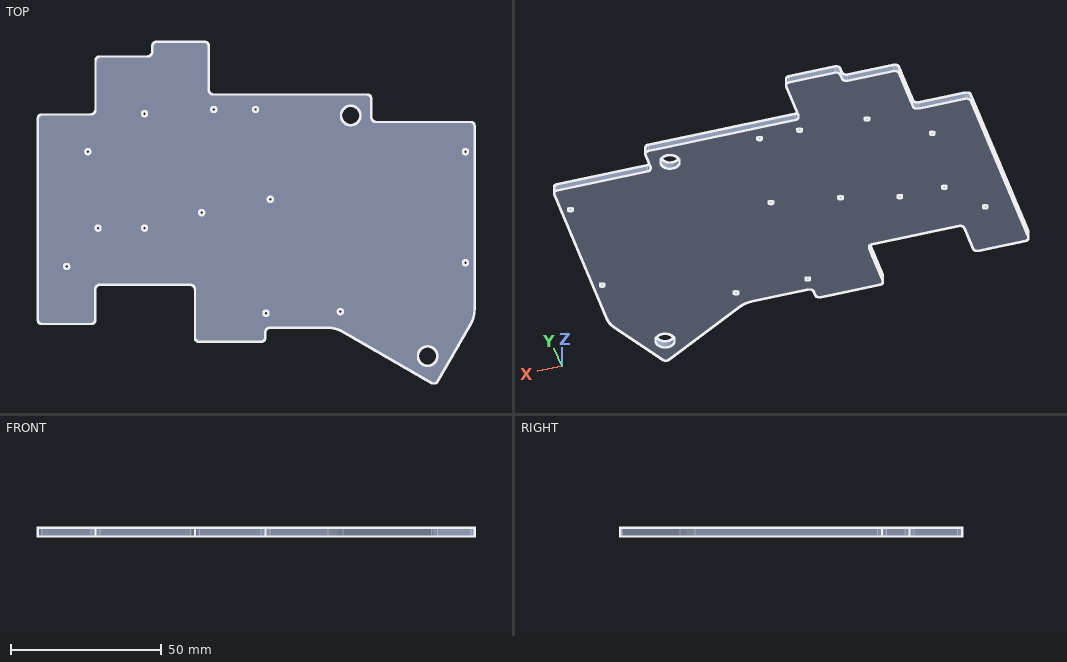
import cadquery as cq
import math

WIDTH = 145.5
DEPTH = 113.86
THICKNESS = 3.0

CORNER_RADIUS = 1.5
BEND_RADIUS = 10.0
SCREW_HOLE_DIAMETER = 1.6
MOUNT_HOLE_DIAMETER = 6.4

COLUMN_PITCH = 18.9
LEFT_COLUMN_RIGHT = 19.2
SECOND_COLUMN_RIGHT = LEFT_COLUMN_RIGHT + COLUMN_PITCH
THIRD_COLUMN_RIGHT = SECOND_COLUMN_RIGHT + COLUMN_PITCH
MOUNT_TAB_RIGHT = 111.1
LEFT_COLUMN_TOP = 89.7
SECOND_COLUMN_TOP = 109.0
MOUNT_TAB_TOP = 96.3
RIGHT_BLOCK_TOP = 87.2

LEFT_COLUMN_BOTTOM = 19.8
NOTCH_TOP = 32.9
NOTCH_RIGHT = 52.3
MIDDLE_BLOCK_RIGHT = 75.8
MIDDLE_BLOCK_BOTTOM = 13.9
STRAIGHT_BOTTOM = 18.6

TIP_ANGLE = math.radians(30)
TIP_X = 132.4
TIP_Y = -CORNER_RADIUS * (math.sin(TIP_ANGLE) + math.cos(TIP_ANGLE) - 1)
SLOPE_START_X = TIP_X - (STRAIGHT_BOTTOM - TIP_Y) / math.tan(TIP_ANGLE)
RIGHT_SIDE_BOTTOM = TIP_Y + (WIDTH - TIP_X) / math.tan(TIP_ANGLE)

SCREW_HOLES = [
    (58.6, 91.3),
    (72.5, 91.3),
    (35.55, 89.9),
    (16.7, 77.25),
    (142.4, 77.25),
    (77.45, 61.4),
    (54.6, 56.95),
    (20.1, 51.8),
    (35.55, 51.8),
    (142.4, 40.25),
    (9.65, 39.05),
    (100.75, 24.0),
    (76.0, 23.45),
]
MOUNT_HOLES = [
    (104.2, 89.3),
    (129.8, 9.2),
]


def centred(point):
    """Move a point measured from the plate's lower left to the centred axes."""
    x, y = point
    return (x - WIDTH / 2, y - DEPTH / 2)


def vertical_edge_at(point):
    """Select the vertical edge standing on the given outline corner."""
    x, y = centred(point)
    return cq.selectors.NearestToPointSelector((x, y, THICKNESS / 2))


def make_plate():
    """Extrude the stepped outline and round every corner of it."""
    corners = [
        (0, LEFT_COLUMN_BOTTOM),
        (0, LEFT_COLUMN_TOP),
        (LEFT_COLUMN_RIGHT, LEFT_COLUMN_TOP),
        (LEFT_COLUMN_RIGHT, SECOND_COLUMN_TOP),
        (SECOND_COLUMN_RIGHT, SECOND_COLUMN_TOP),
        (SECOND_COLUMN_RIGHT, DEPTH),
        (THIRD_COLUMN_RIGHT, DEPTH),
        (THIRD_COLUMN_RIGHT, MOUNT_TAB_TOP),
        (MOUNT_TAB_RIGHT, MOUNT_TAB_TOP),
        (MOUNT_TAB_RIGHT, RIGHT_BLOCK_TOP),
        (WIDTH, RIGHT_BLOCK_TOP),
        (WIDTH, RIGHT_SIDE_BOTTOM),
        (TIP_X, TIP_Y),
        (SLOPE_START_X, STRAIGHT_BOTTOM),
        (MIDDLE_BLOCK_RIGHT, STRAIGHT_BOTTOM),
        (MIDDLE_BLOCK_RIGHT, MIDDLE_BLOCK_BOTTOM),
        (NOTCH_RIGHT, MIDDLE_BLOCK_BOTTOM),
        (NOTCH_RIGHT, NOTCH_TOP),
        (LEFT_COLUMN_RIGHT, NOTCH_TOP),
        (LEFT_COLUMN_RIGHT, LEFT_COLUMN_BOTTOM),
    ]
    bends = [(WIDTH, RIGHT_SIDE_BOTTOM), (SLOPE_START_X, STRAIGHT_BOTTOM)]
    outline = [centred(corner) for corner in corners]
    plate = cq.Workplane("XY").polyline(outline).close().extrude(THICKNESS)
    for corner in corners:
        radius = BEND_RADIUS if corner in bends else CORNER_RADIUS
        plate = plate.edges("|Z").edges(vertical_edge_at(corner)).fillet(radius)
    return plate


def drill(plate, positions, diameter):
    """Cut straight holes through the full thickness."""
    centres = [centred(p) for p in positions]
    pins = cq.Workplane("XY").pushPoints(centres).circle(diameter / 2).extrude(THICKNESS)
    return plate.cut(pins)


result = make_plate()
result = drill(result, SCREW_HOLES, SCREW_HOLE_DIAMETER)
result = drill(result, MOUNT_HOLES, MOUNT_HOLE_DIAMETER)